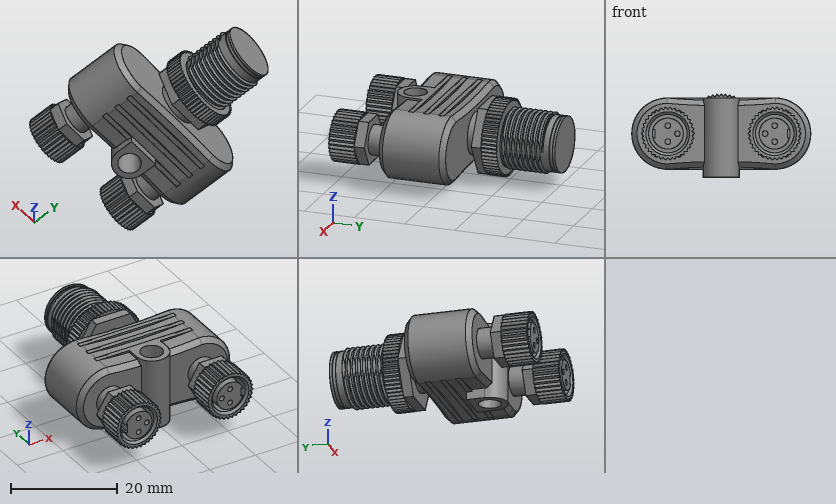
import cadquery as cq
import math


body_width = 33.53
body_height = 13.34
body_depth = 13.27
body_chamfer = 1.0
waist_sag = 0.45
end_radius = body_height / 2
end_center_x = body_width / 2 - end_radius

rib_width = 1.0
rib_pitch = 3.0
rib_count = 3
first_rib_y = 3.9
rib_half_length = 10.5

boss_radius = 3.4
boss_center_y = 1.4
boss_back_y = first_rib_y + rib_width
boss_bottom_z = -8.2
boss_hole_diameter = 4.4

plug_neck_radius = 4.2
plug_hex_start = 15.25
plug_knurl_start = 17.16
plug_knurl_end = 20.26
plug_hex_flats = 12.9
plug_knurl_radius = 7.42
plug_knurl_teeth = 57
plug_knurl_phase = math.pi / 2
plug_radius = 5.4
plug_end = 31.22
groove_start = 30.03
groove_end = 30.7
groove_radius = 5.15

thread_radius = 5.85
thread_pitch = 1.0
thread_base_width = 0.65
thread_root_overlap = 0.1
thread_start = 19.91
thread_turns = 9
thread_end = 28.85

socket_x = 10.0
socket_neck_radius = 2.9
socket_hex_start = 3.3
socket_knurl_start = 5.35
socket_end = 10.43
socket_hex_flats = 8.5
socket_knurl_radius = 4.96
socket_knurl_teeth = 34
socket_knurl_phase = 0
knurl_depth = 0.4
rim_radius = 4.09
bore_radius = 3.6
rim_taper = 45
bore_depth = 4.0
insert_radius = 2.9
key_depth = 0.5
key_width = 1.6
key_length = 3.0
contact_diameter = 1.05
contact_depth = 3.0
contact_offsets = [(0, 1.5), (0, -1.5), (1.8, 0)]


def cylinder_y(radius, y_start, y_end, x=0, z=0):
    """Cylinder along Y between two Y positions."""
    return (
        cq.Workplane("XZ", origin=(x, y_start, z))
        .circle(radius)
        .extrude(y_start - y_end)
    )


def hexagon_y(across_flats, y_start, y_end, x=0):
    """Hexagonal prism along Y with corners on the X axis."""
    corner_diameter = across_flats / math.cos(math.pi / 6)
    return (
        cq.Workplane("XZ", origin=(x, y_start, 0))
        .polygon(6, corner_diameter)
        .extrude(y_start - y_end)
    )


def knurl_y(tip_radius, teeth, phase, y_start, y_end, x=0):
    """Ring with V-shaped teeth along Y; phase is the angle of the first tooth from +X."""
    points = []
    for step in range(2 * teeth):
        radius = tip_radius if step % 2 == 0 else tip_radius - knurl_depth
        angle = phase + math.pi * step / teeth
        points.append((radius * math.cos(angle), radius * math.sin(angle)))
    return (
        cq.Workplane("XZ", origin=(x, y_start, 0))
        .polyline(points)
        .close()
        .extrude(y_start - y_end)
    )


def block(x_range, y_range, z_range):
    """Box given by its lower and upper limits on each axis."""
    ranges = (x_range, y_range, z_range)
    lengths = [upper - lower for lower, upper in ranges]
    corner = tuple(lower for lower, _ in ranges)
    return cq.Workplane("XY").box(*lengths, centered=False).translate(corner)


def make_body():
    """Rounded-end body with slightly waisted top and bottom."""
    waist_z = end_radius - waist_sag
    shell = (
        cq.Workplane("XZ")
        .moveTo(-end_center_x, end_radius)
        .threePointArc((0, waist_z), (end_center_x, end_radius))
        .threePointArc((end_center_x + end_radius, 0), (end_center_x, -end_radius))
        .threePointArc((0, -waist_z), (-end_center_x, -end_radius))
        .threePointArc((-end_center_x - end_radius, 0), (-end_center_x, end_radius))
        .close()
        .extrude(-body_depth)
        .faces("<Y or >Y")
        .chamfer(body_chamfer)
    )
    for index in range(rib_count):
        rib_y = first_rib_y + index * rib_pitch
        rib = block(
            (-rib_half_length, rib_half_length),
            (rib_y, rib_y + rib_width),
            (-end_radius, end_radius),
        )
        shell = shell.union(rib)
    return shell


def add_boss(solid):
    """Mounting boss with a round front, drilled through along Z."""
    boss = block(
        (-boss_radius, boss_radius),
        (boss_center_y, boss_back_y),
        (boss_bottom_z, end_radius),
    )
    base = cq.Workplane("XY", origin=(0, boss_center_y, boss_bottom_z))
    boss_height = end_radius - boss_bottom_z
    nose = base.circle(boss_radius).extrude(boss_height)
    hole = base.circle(boss_hole_diameter / 2).extrude(boss_height)
    return solid.union(boss).union(nose).cut(hole)


def make_thread():
    """Right-hand V thread along +Y, trimmed flush with the plug on the two X sides."""
    root_radius = plug_radius - thread_root_overlap
    flank_run = thread_base_width / 2 / (thread_radius - plug_radius)
    half_root = flank_run * (thread_radius - root_radius)
    helix = cq.Wire.makeHelix(thread_pitch, thread_pitch * thread_turns, root_radius)
    ridge = (
        cq.Workplane("XZ")
        .polyline([(root_radius, -half_root), (thread_radius, 0), (root_radius, half_root)])
        .close()
        .sweep(cq.Workplane(obj=helix), isFrenet=True)
        .rotate((0, 0, 0), (1, 0, 0), -90)
        .translate((0, thread_start, 0))
    )
    trim = block(
        (-plug_radius, plug_radius),
        (plug_knurl_start, thread_end),
        (-plug_knurl_radius, plug_knurl_radius),
    )
    return ridge.intersect(trim)


def make_plug():
    """Threaded plug with its hexagon and knurled ring."""
    plug = cylinder_y(plug_radius, plug_knurl_end, groove_start)
    plug = plug.union(make_thread())
    plug = plug.union(cylinder_y(groove_radius, groove_start, groove_end))
    plug = plug.union(cylinder_y(plug_radius, groove_end, plug_end))
    knurl = knurl_y(
        plug_knurl_radius, plug_knurl_teeth, plug_knurl_phase, plug_knurl_start, plug_knurl_end
    )
    plug = plug.union(knurl)
    plug = plug.union(hexagon_y(plug_hex_flats, plug_hex_start, plug_knurl_start))
    return plug.union(cylinder_y(plug_neck_radius, body_depth, plug_hex_start))


def make_socket(side):
    """Socket with knurled sleeve; side is -1 for the -X socket and +1 for the +X one."""
    x = side * socket_x
    inward = -side
    floor_y = bore_depth - socket_end

    socket = cylinder_y(socket_neck_radius, 0, -socket_hex_start, x)
    socket = socket.union(hexagon_y(socket_hex_flats, -socket_hex_start, -socket_knurl_start, x))
    sleeve = knurl_y(
        socket_knurl_radius,
        socket_knurl_teeth,
        socket_knurl_phase,
        -socket_knurl_start,
        -socket_end,
        x,
    )
    socket = socket.union(sleeve)
    bore = cylinder_y(bore_radius, floor_y, -socket_end, x)
    rim_chamfer = (
        cq.Workplane("XZ", origin=(x, -socket_end, 0))
        .circle(rim_radius)
        .extrude(bore_radius - rim_radius, taper=rim_taper)
    )
    socket = socket.cut(bore).cut(rim_chamfer)

    insert = cylinder_y(insert_radius, floor_y, -socket_end, x)
    key_center_x = x - inward * insert_radius
    key = block(
        (key_center_x - key_depth, key_center_x + key_depth),
        (-socket_end, key_length - socket_end),
        (-key_width / 2, key_width / 2),
    )
    insert = insert.cut(key)
    for offset_x, contact_z in contact_offsets:
        contact = cylinder_y(
            contact_diameter / 2,
            contact_depth - socket_end,
            -socket_end,
            x + inward * offset_x,
            contact_z,
        )
        insert = insert.cut(contact)
    return socket.union(insert)


result = add_boss(make_body()).union(make_plug())
for socket_side in (-1, 1):
    result = result.union(make_socket(socket_side))